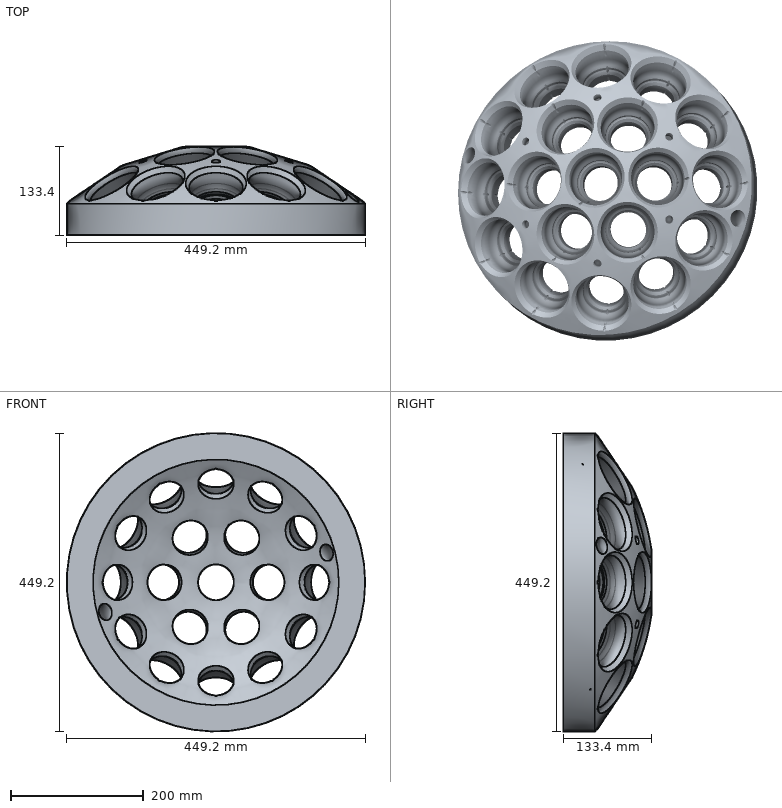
import cadquery as cq
import math

flange_radius = 449.2 / 2
flange_thickness = 47.4
opening_radius = 184.8
overall_depth = 133.44

mouth_radius = 45.7
well_radius = 40.5
counterbore_radius = 67.73 / 2
bore_radius = 53.49 / 2
mouth_chamfer_depth = 8.2
well_fillet_radius = 10.5
counterbore_start_depth = 38.2
counterbore_end_depth = 42.4
bore_start_depth = 46.1
cone_angle = math.radians(45)

ring_pitch = 17.0
port_rings = (
    (0, 1, False),
    (ring_pitch, 6, False),
    (2 * ring_pitch, 12, True),
)
port_azimuth_start = 300.0

channel_radius = 2.0
channel_inner_offset = 26.4
channel_outer_offset = 45.3

blind_hole_radius = 12.19 / 2
blind_hole_depth = 12.0
blind_hole_polar = 22.8
blind_hole_count = 6
blind_hole_azimuth_start = 30.0

side_hole_radius = 25.4 / 2
side_hole_polar = 40.5
side_hole_azimuths = (15.0, 195.0)

overrun = 2.0

centre_y = (
    overall_depth**2 + mouth_radius**2 - flange_thickness**2 - flange_radius**2
) / (2 * (overall_depth - flange_thickness))
outer_radius = math.hypot(flange_radius, flange_thickness - centre_y)
inner_radius = math.hypot(opening_radius, centre_y)
mouth_height = overall_depth - centre_y


def dome_point(radius, polar):
    """Point in the XY plane on a dome sphere, at a polar angle from the dome axis."""
    angle = math.radians(polar)
    return (radius * math.sin(angle), centre_y + radius * math.cos(angle))


def dome_body():
    """Flange and domed wall, revolved about the dome axis."""
    arc_mid_polar = 20.0
    return (
        cq.Workplane("XY")
        .moveTo(opening_radius, 0)
        .lineTo(flange_radius, 0)
        .lineTo(flange_radius, flange_thickness)
        .threePointArc(dome_point(outer_radius, arc_mid_polar), dome_point(outer_radius, 0))
        .lineTo(*dome_point(inner_radius, 0))
        .threePointArc(dome_point(inner_radius, arc_mid_polar), (opening_radius, 0))
        .close()
        .revolve(360, (0, 0, 0), (0, 1, 0))
    )


def port_cutter():
    """Stepped port about Z, with the dome's centre at the origin."""
    counterbore_top = mouth_height - counterbore_start_depth
    counterbore_floor = mouth_height - counterbore_end_depth
    bore_top = mouth_height - bore_start_depth
    bore_lead_radius = bore_radius + (counterbore_floor - bore_top) * math.tan(cone_angle)

    fillet_centre_radius = well_radius - well_fillet_radius
    cone_top_radius = fillet_centre_radius + well_fillet_radius * math.cos(cone_angle)
    cone_top = counterbore_top + (cone_top_radius - counterbore_radius) / math.tan(cone_angle)
    fillet_top = cone_top + well_fillet_radius * math.sin(cone_angle)
    fillet_mid = (
        fillet_centre_radius + well_fillet_radius * math.cos(cone_angle / 2),
        fillet_top - well_fillet_radius * math.sin(cone_angle / 2),
    )

    bottom = inner_radius - 2 * overrun
    top = outer_radius + overrun
    return (
        cq.Workplane("XZ")
        .moveTo(0, bottom)
        .lineTo(bore_radius, bottom)
        .lineTo(bore_radius, bore_top)
        .lineTo(bore_lead_radius, counterbore_floor)
        .lineTo(counterbore_radius, counterbore_floor)
        .lineTo(counterbore_radius, counterbore_top)
        .lineTo(cone_top_radius, cone_top)
        .threePointArc(fillet_mid, (well_radius, fillet_top))
        .lineTo(well_radius, mouth_height - mouth_chamfer_depth)
        .lineTo(mouth_radius, mouth_height)
        .lineTo(mouth_radius, top)
        .lineTo(0, top)
        .close()
        .revolve(360, (0, 0, 0), (0, 1, 0))
    )


def channel_cutter(start):
    """Round channel leaning away from the port axis, from a height along it to outside the dome."""
    slope = (channel_outer_offset - channel_inner_offset) / (mouth_height - inner_radius)
    length = (outer_radius + overrun - start) * math.hypot(1, slope)
    plane = cq.Plane(
        origin=(channel_inner_offset + (start - inner_radius) * slope, 0, start),
        xDir=(0, 1, 0),
        normal=(slope, 0, 1),
    )
    return cq.Workplane(plane).circle(channel_radius).extrude(length)


def hole_cutter(radius, bottom):
    """Cylinder about Z from a given distance off the dome's centre to outside the dome."""
    return cq.Workplane("XY", origin=(0, 0, bottom)).circle(radius).extrude(outer_radius + overrun - bottom)


def aimed(cutter, polar, azimuth):
    """Turn a cutter's Z to a direction from the dome's centre and its X away from the dome axis."""
    tilt = math.radians(polar)
    turn = math.radians(azimuth)
    across = (math.cos(turn), math.sin(turn))
    plane = cq.Plane(
        origin=(0, centre_y, 0),
        xDir=(math.cos(tilt) * across[0], -math.sin(tilt), math.cos(tilt) * across[1]),
        normal=(math.sin(tilt) * across[0], math.cos(tilt), math.sin(tilt) * across[1]),
    )
    return cutter.val().moved(cq.Location(plane))


cutters = []

for ring_polar, port_count, channel_through in port_rings:
    channel_start = inner_radius - overrun if channel_through else mouth_height - counterbore_end_depth
    port = port_cutter().union(channel_cutter(channel_start))
    for index in range(port_count):
        port_azimuth = port_azimuth_start + index * 360 / port_count
        cutters.append(aimed(port, ring_polar, port_azimuth))

blind_hole = hole_cutter(blind_hole_radius, outer_radius - blind_hole_depth)
for index in range(blind_hole_count):
    hole_azimuth = blind_hole_azimuth_start + index * 360 / blind_hole_count
    cutters.append(aimed(blind_hole, blind_hole_polar, hole_azimuth))

side_hole = hole_cutter(side_hole_radius, inner_radius - overrun)
for hole_azimuth in side_hole_azimuths:
    cutters.append(aimed(side_hole, side_hole_polar, hole_azimuth))

drilled_dome = dome_body().val().cut(*cutters)
result = cq.Workplane(drilled_dome.Solids()[0])